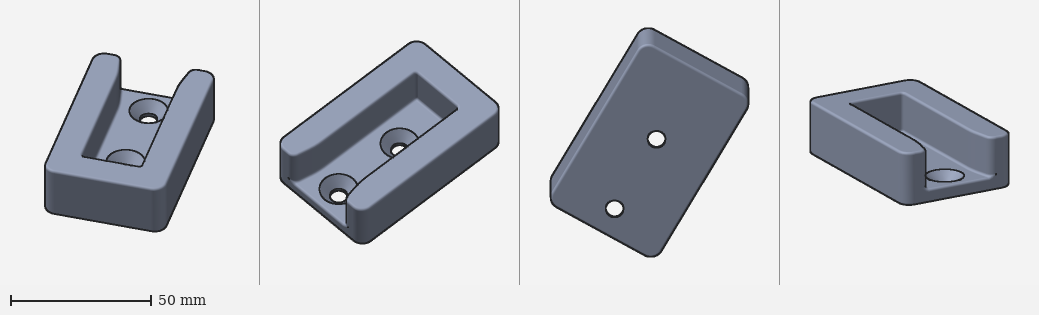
import cadquery as cq
import math

width = 45.0
length = 70.0
height = 20.0
corner_radius = 4.5
edge_radius = 1.0

floor_height = 5.05
pocket_width = 22.0
end_wall = 11.5
pocket_corner_radius = 1.05

flare_length = 12.95
flare_angle = math.radians(11.5)
flare_radius = 29.05
mouth_radius = 3.0

hole_diameter = 6.3
countersink_diameter = 13.8
countersink_angle = math.radians(90)
hole_count = 2
hole_spacing = 30.0
first_hole_offset = 10.0

overcut = 1.4

open_end = length / 2
closed_end = -length / 2 + end_wall


def arc_point(centre, radius, angle):
    """Point on a circle at an angle measured from +X."""
    return (centre[0] + radius * math.cos(angle), centre[1] + radius * math.sin(angle))


def make_block():
    block = cq.Workplane("XY").rect(width, length).extrude(height)
    return block.edges("|Z").fillet(corner_radius)


def make_pocket():
    """Cutter for the slot: straight walls that bend outwards, then round over into the +Y face."""
    wall_x = pocket_width / 2
    bend_centre = (wall_x + flare_radius, open_end - flare_length)
    bend_start = (wall_x, bend_centre[1])
    bend_middle = arc_point(bend_centre, flare_radius, math.pi - flare_angle / 2)
    bend_end = arc_point(bend_centre, flare_radius, math.pi - flare_angle)

    mouth_centre_y = open_end - mouth_radius
    slant_end_y = mouth_centre_y + mouth_radius * math.sin(flare_angle)
    slant_end_x = bend_end[0] + (slant_end_y - bend_end[1]) * math.tan(flare_angle)
    mouth_centre = (slant_end_x + mouth_radius * math.cos(flare_angle), mouth_centre_y)
    mouth_middle_angle = math.pi - (math.pi / 2 + flare_angle) / 2
    mouth_middle = arc_point(mouth_centre, mouth_radius, mouth_middle_angle)
    mouth_end = (mouth_centre[0], open_end)

    outer_x = mouth_end[0] + overcut
    outer_y = open_end + overcut
    right_half = (
        cq.Workplane("XY", origin=(0, 0, floor_height))
        .moveTo(0, closed_end)
        .lineTo(wall_x, closed_end)
        .lineTo(*bend_start)
        .threePointArc(bend_middle, bend_end)
        .lineTo(slant_end_x, slant_end_y)
        .threePointArc(mouth_middle, mouth_end)
        .lineTo(outer_x, open_end)
        .lineTo(outer_x, outer_y)
        .lineTo(0, outer_y)
        .close()
        .extrude(height - floor_height)
    )
    pocket = right_half.union(right_half.mirror("YZ")).clean()
    pocket = pocket.edges("|Z and <Y").fillet(pocket_corner_radius)
    return pocket.faces("<Z").edges("not (>Y or <X or >X)").fillet(edge_radius)


def round_edges(body):
    """Round the lip of the pocket floor at the open end, then the top and bottom rims."""
    floor_lip = cq.selectors.NearestToPointSelector((0, open_end, floor_height))
    body = body.edges(floor_lip).fillet(edge_radius)
    body = body.faces(">Z").edges().fillet(edge_radius)
    return body.faces("<Z").edges().fillet(edge_radius)


def make_screw_hole(y):
    """Cutter for a through hole with its countersink in the pocket floor."""
    hole_radius = hole_diameter / 2
    countersink_radius = countersink_diameter / 2
    countersink_depth = (countersink_radius - hole_radius) / math.tan(countersink_angle / 2)
    profile = (
        cq.Workplane("XZ", origin=(0, y, 0))
        .lineTo(hole_radius, 0)
        .lineTo(hole_radius, floor_height - countersink_depth)
        .lineTo(countersink_radius, floor_height)
        .lineTo(0, floor_height)
        .close()
    )
    return profile.revolve(360, (0, 0, 0), (0, 1, 0))


result = round_edges(make_block().cut(make_pocket()))
for index in range(hole_count):
    result = result.cut(make_screw_hole(open_end - first_hole_offset - index * hole_spacing))